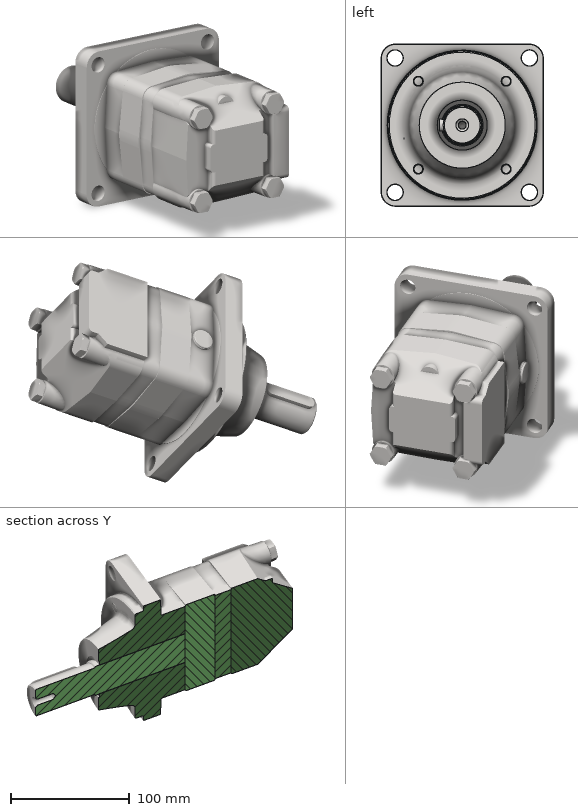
import cadquery as cq
import math


collar_start = 56.5
nose_start = 60.0
cone_end = 90.7
spigot_start = 94.6
flange_start = 102.7
flange_end = 119.5
rear_disc_end = 120.0
housing_end = 142.7
ring_end = 171.0
plate_end = 186.0
boss_taper_start = 211.4
cover_side_end = 236.1
boss_end = 238.3
cover_end = 244.7
total_length = 245.2

bolt_offset = 37.0
bolt_diameter = 8.3
bolt_centers = [(y, z) for y in (-bolt_offset, bolt_offset) for z in (-bolt_offset, bolt_offset)]

shaft_diameter = 32.0
shaft_chamfer = 1.0
collar_diameter = 35.0
collar_chamfer = 1.0
center_hole_diameter = 6.5
center_sink_diameter = 10.8
center_sink_depth = 2.2
center_hole_depth = 17.2
drill_point_depth = 2.0
key_start = 4.5
key_end = 50.0
key_width = 10.0
key_top = 19.1
key_bottom = 11.0

nose_front_diameter = 72.5
nose_rear_diameter = 89.5
nose_foot_diameter = 101.0
seal_recess_diameter = 42.2
seal_recess_depth = 0.7
spigot_diameter = 125.0
spigot_chamfer = 1.0
spigot_foot_flare = 0.7
flange_side = 136.8
flange_corner_radius = 12.3
mount_hole_diameter = 13.5
mount_hole_offset = 56.6
rear_disc_diameter = 121.0
housing_peak = 49.8
body_corner_radius = 10.5

plug_x = 131.5
plug_root = 46.5
plug_washer_bottom = 50.0
plug_washer_top = 51.2
plug_top = 53.0
plug_washer_diameter = 18.6
plug_head_diameter = 18.0
plug_chamfer = 0.5

ring_peak = 51.7
plate_peak = 50.0
plate_corner_radius = 9.8
ridge_half_width = 5.0

cover_peak_z = 51.2
cover_peak_y = 48.5
cover_side_slope = 0.06
cover_slope_angle = 39.0
tail_half_width = 26.5
tail_corner_radius = 2.5
rib_half_width = 29.5
rib_half_height = 12.3
rib_radius = 3.0
boss_diameter = 21.0
boss_end_diameter = 20.0
bump_diameter = 17.0
bump_z = 36.8
bump_length = 14.7
bump_end = 225.5
port_face_y = 53.0
port_face_root = 36.8
port_face_shoulder = 224.8
port_face_neck = 233.7
port_face_end = 243.2
port_face_half_height = 39.2
port_neck_half_height = 31.9
port_corner_radius = 4.5

bolt_washer_diameter = 16.0
bolt_washer_thickness = 0.7
head_across_flats = 17.0
head_corner_chamfer = 0.7
bolt_tip_chamfer = 0.5


def yz_plane(x):
    return cq.Workplane("YZ", origin=(x, 0, 0))


def disc(diameter, start, end):
    return yz_plane(start).circle(diameter / 2).extrude(end - start)


def bulged_square(peak, corner_radius, start, end, ridge_half=None):
    """Prism with four roof-shaped sides and corners rounded about the bolt axes.

    The tilt of the sides makes each one tangent to the corner circle and lets it reach `peak`.
    """
    rise = peak - bolt_offset
    tilt = math.acos(corner_radius / math.hypot(rise, bolt_offset)) - math.atan2(bolt_offset, rise)
    corner = peak / (1 + math.tan(tilt))
    outline = [
        (0, peak), (corner, corner), (peak, 0), (corner, -corner),
        (0, -peak), (-corner, -corner), (-peak, 0), (-corner, corner),
    ]
    prism = yz_plane(start).polyline(outline).close().extrude(end - start)
    middle = (start + end) / 2
    for y, z in outline:
        is_ridge = y == 0 or z == 0
        if is_ridge and ridge_half is None:
            continue
        radius = ridge_half / math.sin(tilt) if is_ridge else corner_radius
        prism = prism.edges(cq.selectors.NearestToPointSelector((middle, y, z))).fillet(radius)
    return prism


def cut_bolt_holes(body, start, end):
    holes = yz_plane(start).pushPoints(bolt_centers).circle(bolt_diameter / 2).extrude(end - start)
    return body.cut(holes)


def make_key():
    length = key_end - key_start
    return (
        cq.Workplane("XZ", origin=((key_start + key_end) / 2, key_bottom, 0))
        .slot2D(length, key_width)
        .extrude(key_bottom - key_top)
    )


def make_shaft(key):
    shaft = disc(shaft_diameter, 0, collar_start).faces("<X").chamfer(shaft_chamfer)
    collar = disc(collar_diameter, collar_start, housing_end).faces("<X").chamfer(collar_chamfer)
    center_hole = (
        cq.Workplane("XY")
        .polyline([
            (0, 0),
            (0, center_sink_diameter / 2),
            (center_sink_depth, center_hole_diameter / 2),
            (center_hole_depth, center_hole_diameter / 2),
            (center_hole_depth + drill_point_depth, 0),
        ])
        .close()
        .revolve(360, (0, 0, 0), (1, 0, 0))
    )
    return shaft.union(collar).cut(center_hole).cut(key)


def make_nose():
    """Cone flaring through a concave arc into the flat front of the round spigot behind it."""
    return (
        cq.Workplane("XY")
        .moveTo(nose_start, 0)
        .lineTo(nose_start, nose_front_diameter / 2)
        .lineTo(cone_end, nose_rear_diameter / 2)
        .tangentArcPoint((spigot_start, nose_foot_diameter / 2), relative=False)
        .lineTo(spigot_start, spigot_diameter / 2 - spigot_chamfer)
        .lineTo(spigot_start + spigot_chamfer, spigot_diameter / 2)
        .lineTo(flange_start - spigot_foot_flare, spigot_diameter / 2)
        .lineTo(flange_start, spigot_diameter / 2 + spigot_foot_flare)
        .lineTo(flange_start, 0)
        .close()
        .revolve(360, (0, 0, 0), (1, 0, 0))
    )


def make_plug():
    def plug_disc(diameter, bottom, top):
        return (
            cq.Workplane("XZ", origin=(plug_x, bottom, 0)).circle(diameter / 2).extrude(bottom - top)
        )

    stem = plug_disc(plug_head_diameter, plug_root, plug_top).faces(">Y").chamfer(plug_chamfer)
    washer = plug_disc(plug_washer_diameter, plug_washer_bottom, plug_washer_top)
    return stem.union(washer)


def make_housing():
    flange = (
        yz_plane(flange_start)
        .rect(flange_side, flange_side)
        .extrude(flange_end - flange_start)
        .edges("|X")
        .fillet(flange_corner_radius)
    )
    mount_holes = (
        yz_plane(flange_start)
        .rect(2 * mount_hole_offset, 2 * mount_hole_offset, forConstruction=True)
        .vertices()
        .circle(mount_hole_diameter / 2)
        .extrude(flange_end - flange_start)
    )
    housing = (
        make_nose()
        .union(flange.cut(mount_holes))
        .union(disc(rear_disc_diameter, flange_end, rear_disc_end))
        .union(bulged_square(housing_peak, body_corner_radius, flange_end, housing_end))
        .union(make_plug())
        .cut(disc(collar_diameter, nose_start, housing_end))
        .cut(disc(seal_recess_diameter, nose_start, nose_start + seal_recess_depth))
    )
    return cut_bolt_holes(housing, cone_end, housing_end)


def make_gear_ring():
    ring = bulged_square(ring_peak, body_corner_radius, housing_end, ring_end, ridge_half_width)
    return cut_bolt_holes(ring, housing_end, ring_end)


def make_plate():
    plate = bulged_square(plate_peak, plate_corner_radius, ring_end, plate_end, ridge_half_width)
    return cut_bolt_holes(plate, ring_end, plate_end)


def make_cover_block():
    """Roof-sided block with a narrower tail between the bosses, sloping down towards the rear."""
    corner_z = (cover_peak_z - cover_side_slope * cover_peak_y) / (1 - cover_side_slope**2)
    corner_y = cover_peak_y - cover_side_slope * corner_z
    block = (
        yz_plane(plate_end)
        .polyline([
            (0, cover_peak_z), (corner_y, corner_z), (cover_peak_y, 0), (corner_y, -corner_z),
            (0, -cover_peak_z), (-corner_y, -corner_z), (-cover_peak_y, 0), (-corner_y, corner_z),
        ])
        .close()
        .extrude(cover_side_end - plate_end)
    )
    middle = (plate_end + cover_side_end) / 2
    for y in (-corner_y, corner_y):
        for z in (-corner_z, corner_z):
            corner_edge = cq.selectors.NearestToPointSelector((middle, y, z))
            block = block.edges(corner_edge).fillet(body_corner_radius)

    tail_length = cover_end - cover_side_end
    tail = (
        yz_plane(cover_side_end)
        .rect(2 * tail_half_width, 2 * cover_peak_z)
        .extrude(tail_length)
        .edges("|Z and >X")
        .fillet(tail_corner_radius)
    )
    rib = (
        yz_plane(cover_side_end)
        .rect(2 * rib_half_width, 2 * rib_half_height)
        .extrude(tail_length)
        .edges("|X")
        .fillet(rib_radius)
    )

    slope_run = total_length - boss_taper_start
    slope_drop = slope_run * math.tan(math.radians(cover_slope_angle))
    envelope = (
        cq.Workplane("XZ", origin=(0, cover_peak_y, 0))
        .polyline([
            (plate_end, cover_peak_z),
            (boss_taper_start, cover_peak_z),
            (total_length, cover_peak_z - slope_drop),
            (total_length, slope_drop - cover_peak_z),
            (boss_taper_start, -cover_peak_z),
            (plate_end, -cover_peak_z),
        ])
        .close()
        .extrude(2 * cover_peak_y)
    )
    return block.union(tail).union(rib).intersect(envelope)


def make_boss(y, z):
    straight = (
        yz_plane(plate_end).center(y, z).circle(boss_diameter / 2).extrude(boss_taper_start - plate_end)
    )
    taper = (
        yz_plane(boss_taper_start)
        .center(y, z)
        .circle(boss_diameter / 2)
        .workplane(offset=boss_end - boss_taper_start)
        .circle(boss_end_diameter / 2)
        .loft()
    )
    return straight.union(taper)


def make_port_face():
    return (
        cq.Workplane("XZ", origin=(0, port_face_root, 0))
        .polyline([
            (plate_end, port_face_half_height),
            (port_face_shoulder, port_face_half_height),
            (port_face_neck, port_neck_half_height),
            (port_face_end, port_neck_half_height),
            (port_face_end, -port_neck_half_height),
            (port_face_neck, -port_neck_half_height),
            (port_face_shoulder, -port_face_half_height),
            (plate_end, -port_face_half_height),
        ])
        .close()
        .extrude(port_face_root - port_face_y)
        .edges("|Y and >X")
        .fillet(port_corner_radius)
    )


def make_cover():
    cover = make_cover_block().union(make_port_face())
    for y, z in bolt_centers:
        cover = cover.union(make_boss(y, z))
    bump = (
        yz_plane(bump_end - bump_length).center(0, bump_z).circle(bump_diameter / 2).extrude(bump_length)
    )
    head_room = (
        yz_plane(boss_end)
        .pushPoints(bolt_centers)
        .circle(boss_end_diameter / 2)
        .extrude(cover_end - boss_end)
    )
    return cut_bolt_holes(cover.union(bump).cut(head_room), plate_end, boss_end)


def make_bolt(y, z):
    head_start = boss_end + bolt_washer_thickness
    shank = (
        yz_plane(spigot_start)
        .center(y, z)
        .circle(bolt_diameter / 2)
        .extrude(boss_end - spigot_start)
        .faces("<X")
        .chamfer(bolt_tip_chamfer)
    )
    washer = (
        yz_plane(boss_end).center(y, z).circle(bolt_washer_diameter / 2).extrude(bolt_washer_thickness)
    )
    head = (
        yz_plane(head_start)
        .center(y, z)
        .transformed(rotate=(0, 0, 90))
        .polygon(6, head_across_flats, circumscribed=True)
        .extrude(total_length - head_start)
    )
    corner_diameter = head_across_flats / math.cos(math.pi / 6)
    head_turning = (
        yz_plane(head_start)
        .center(y, z)
        .circle(corner_diameter / 2)
        .extrude(total_length - head_start)
        .faces(">X")
        .chamfer(head_corner_chamfer)
    )
    return shank.union(washer).union(head.intersect(head_turning))


key = make_key()
shaft = make_shaft(key)
housing = make_housing()
gear_ring = make_gear_ring()
plate = make_plate()
cover = make_cover()
bolts = [make_bolt(y, z).val() for y, z in bolt_centers]

result = cq.Compound.makeCompound([
    shaft.val(),
    key.val(),
    housing.val(),
    gear_ring.val(),
    plate.val(),
    cover.val(),
    *bolts,
])